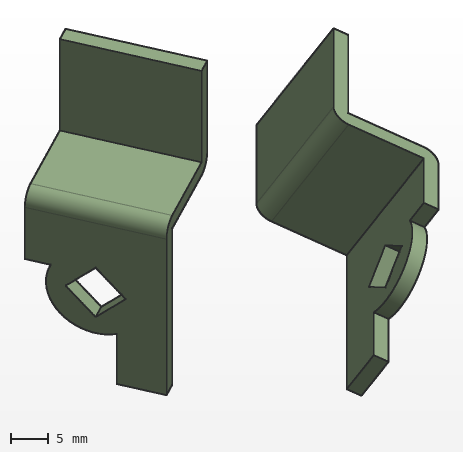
import cadquery as cq

width = 20.0
depth = 16.3
height = 45.0

thickness = 2.3
bend_radius = thickness
shelf_top = 29.25
shelf_bottom = shelf_top - thickness

shoulder_height = 18.0
leg_width = 7.0
boss_radius = 7.0
boss_x = width / 2
boss_z = 15.0
square_hole_side = 6.0


def z_profile_sheet():
    """Z-shaped strip: front plate, shelf and raised back flange."""
    profile = [
        (0, 0),
        (thickness, 0),
        (thickness, shelf_bottom),
        (depth, shelf_bottom),
        (depth, height),
        (depth - thickness, height),
        (depth - thickness, shelf_top),
        (0, shelf_top),
    ]
    sheet = cq.Workplane("YZ").polyline(profile).close().extrude(width)
    front_bend = cq.selectors.NearestToPointSelector((width / 2, 0, shelf_top))
    back_bend = cq.selectors.NearestToPointSelector((width / 2, depth, shelf_bottom))
    return sheet.edges(front_bend).fillet(bend_radius).edges(back_bend).fillet(bend_radius)


def front_plate_plane(x, z):
    """Plane on the front face; negative extrusion goes into the sheet."""
    return cq.Workplane("XZ", origin=(x, 0, z))


def corner_cutout():
    """Lower corner removed beside the leg and below the shoulder."""
    return cq.Workplane("XY").box(
        width - leg_width, thickness, shoulder_height, centered=False
    )


def round_boss():
    return front_plate_plane(boss_x, boss_z).circle(boss_radius).extrude(-thickness)


def square_hole():
    """Square through hole standing on one corner."""
    return (
        front_plate_plane(boss_x, boss_z)
        .transformed(rotate=(0, 0, 45))
        .rect(square_hole_side, square_hole_side)
        .extrude(-thickness)
    )


result = z_profile_sheet().cut(corner_cutout()).union(round_boss()).cut(square_hole())